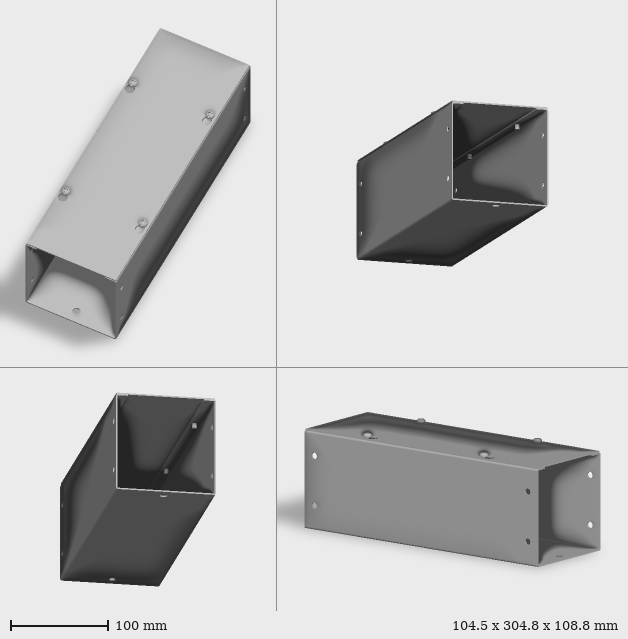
import cadquery as cq

length = 304.8
width = 104.5
overall_height = 108.8

sheet = 1.5
bend_radius = 2.3
flange_width = 12.5
cover_top = 104.5
channel_height = cover_top - sheet
cover_inset = 0.75

screw_inset = 8.0
screw_x = width / 2 - screw_inset
screw_y = length / 4
shank_diameter = 5.0
shank_bottom = 96.3
head_diameter = 9.5
head_height = 3.5
head_bottom = overall_height - head_height
collar_height = 1.0
flat_top_radius = 2.0
drive_depth = 1.8
slot_width = 1.5
cross_length = 4.5
cross_width = 3.0

keyhole_diameter = 10.0
keyhole_offset = 7.0

side_hole_diameter = 6.7
floor_hole_diameter = 8.0
mount_end_distance = 12.8
mount_y = length / 2 - mount_end_distance
side_hole_heights = (25.3, 77.7)

end_signs = (-1, 1)
screw_points = [(sx * screw_x, sy * screw_y) for sx in end_signs for sy in end_signs]


def make_channel():
    """C-shaped channel with inward top flanges, mounting holes and screw holes."""
    outer = (
        cq.Workplane("XY")
        .box(width, length, channel_height, centered=(True, True, False))
        .edges("|Y")
        .fillet(bend_radius)
    )
    inner = (
        cq.Workplane("XY")
        .workplane(offset=sheet)
        .box(width - 2 * sheet, length, channel_height - 2 * sheet, centered=(True, True, False))
        .edges("|Y")
        .fillet(bend_radius - sheet)
    )
    opening = (
        cq.Workplane("XY")
        .workplane(offset=channel_height / 2)
        .box(width - 2 * flange_width, length, channel_height, centered=(True, True, False))
    )
    side_points = [(sy * mount_y, z) for sy in end_signs for z in side_hole_heights]
    side_holes = (
        cq.Workplane("YZ")
        .pushPoints(side_points)
        .circle(side_hole_diameter / 2)
        .extrude(width, both=True)
    )
    floor_holes = (
        cq.Workplane("XY")
        .pushPoints([(0, sy * mount_y) for sy in end_signs])
        .circle(floor_hole_diameter / 2)
        .extrude(2 * sheet)
    )
    screw_holes = (
        cq.Workplane("XY")
        .workplane(offset=channel_height / 2)
        .pushPoints(screw_points)
        .circle(shank_diameter / 2)
        .extrude(channel_height)
    )
    return outer.cut(inner).cut(opening).cut(side_holes).cut(floor_holes).cut(screw_holes)


def make_cover():
    """Flat cover plate with four keyholes that slide under the screw heads."""
    plate = (
        cq.Workplane("XY")
        .workplane(offset=channel_height)
        .box(width - 2 * cover_inset, length - 2 * cover_inset, sheet, centered=(True, True, False))
    )
    for x, y in screw_points:
        base = cq.Workplane("XY").workplane(offset=channel_height)
        wide_end = base.center(x, y - keyhole_offset).circle(keyhole_diameter / 2).extrude(sheet)
        narrow_end = base.center(x, y).circle(shank_diameter / 2).extrude(sheet)
        neck = (
            base.center(x, y - keyhole_offset / 2)
            .rect(shank_diameter, keyhole_offset)
            .extrude(sheet)
        )
        plate = plate.cut(wide_end).cut(narrow_end).cut(neck)
    return plate


def make_screw(x, y):
    """Dome-head screw with a full slot along Y and a short cross arm along X."""
    head_radius = head_diameter / 2
    head = (
        cq.Workplane("XZ")
        .moveTo(0, head_bottom)
        .lineTo(0, overall_height)
        .lineTo(flat_top_radius, overall_height)
        .tangentArcPoint((head_radius, head_bottom + collar_height), relative=False)
        .lineTo(head_radius, head_bottom)
        .close()
        .revolve(360, (0, 0), (0, 1))
    )
    shank = (
        cq.Workplane("XY")
        .workplane(offset=shank_bottom)
        .circle(shank_diameter / 2)
        .extrude(head_bottom - shank_bottom)
    )
    drive_plane = cq.Workplane("XY").workplane(offset=overall_height - drive_depth)
    slot = drive_plane.rect(slot_width, head_diameter).extrude(drive_depth)
    cross_arm = drive_plane.rect(cross_length, cross_width).extrude(drive_depth)
    return head.union(shank).cut(slot).cut(cross_arm).translate((x, y, 0))


channel = make_channel()
cover = make_cover()
screws = [make_screw(x, y) for x, y in screw_points]

result = cq.Compound.makeCompound([channel.val(), cover.val(), *[screw.val() for screw in screws]])